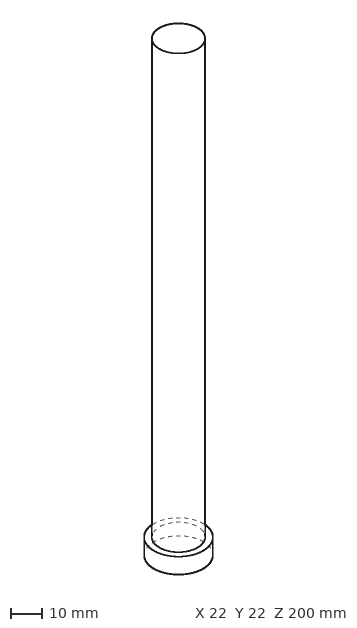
import cadquery as cq

total_length = 200.0
head_diameter = 22.0
head_height = 7.0
shaft_diameter = 17.0


def make_head():
    return cq.Workplane("XY").circle(head_diameter / 2).extrude(head_height)


def make_shaft():
    return cq.Workplane("XY").circle(shaft_diameter / 2).extrude(total_length)


result = make_head().union(make_shaft())